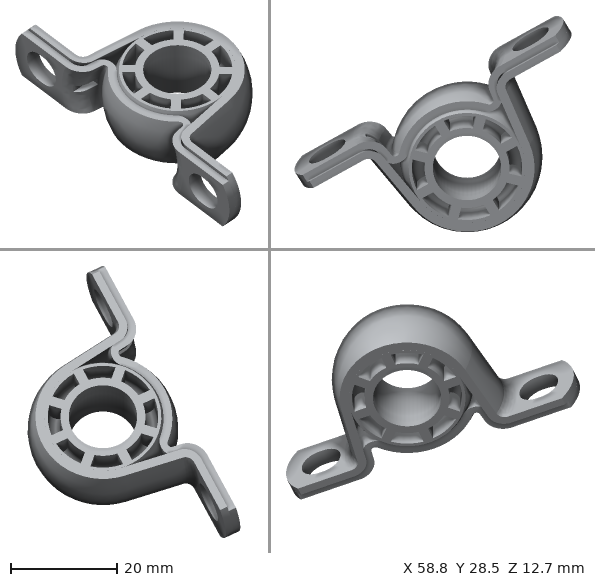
import cadquery as cq
import math


sheet = 1.52
ball_radius = 12.7
bearing_width = 12.7
bore_diameter = 12.87
flange_face = -14.235
leg_tilt = 8.0
rear_width = bearing_width
front_width = 11.16

flange_reach = 29.375
flange_tip_radius = 9.5
mount_hole_x = 22.2
mount_hole_length = 7.9
mount_hole_height = 7.0

rear_bend = 1.68
front_bend = 2.28
crest_y = -7.15
crest_hollow_y = -8.53
crest_outside_bend = 2.2
crest_inside_bend = 0.62

notch_height = 1.6
notch_inner_x = 12.5
notch_outer_x = 14.3
notch_floor_y = -8.7

pocket_count = 8
pocket_inner_radius = 8.0
pocket_outer_radius = 10.4
spoke_width = 1.905
web = 1.5

dome_radius = ball_radius + sheet
leg_length = 2 * ball_radius
joint_y = flange_face + sheet
back_y = joint_y + sheet
block_depth = 2 * ball_radius
plane_tolerance = 0.01


def slab(width):
    """Wide block centred on Z = 0 that trims a strap to its width."""
    return cq.Workplane("XY").box(4 * flange_reach, 4 * flange_reach, width)


def base(top_y):
    """Block filling everything below top_y across the whole flange span."""
    span = 2 * (flange_reach + ball_radius)
    return cq.Workplane("XY").box(span, block_depth, block_depth).translate((0, top_y - block_depth / 2, 0))


def ball(radius):
    return cq.Workplane("XY").sphere(radius)


def legs(radius):
    """Two round legs leaning outwards from the bore centre towards -Y."""
    pair = cq.Workplane("XY")
    for side in (-1, 1):
        direction = cq.Vector(
            side * math.sin(math.radians(leg_tilt)),
            -math.cos(math.radians(leg_tilt)),
            0,
        )
        pair = pair.add(cq.Solid.makeCylinder(radius, leg_length, cq.Vector(0, 0, 0), direction))
    return pair.combine()


def bend_edges(body, y, x_min):
    """Edges in the plane at y that run across the strap and lie further out than x_min on either side."""
    def wanted(edge):
        box = edge.BoundingBox()
        in_plane = max(abs(box.ymin - y), abs(box.ymax - y)) < plane_tolerance
        across = box.zlen > front_width / 2
        return in_plane and across and x_min < abs(edge.Center().x) < flange_reach
    return body.newObject([edge for edge in body.edges().vals() if wanted(edge)])


def hump(radius, foot_y, bend, width):
    """Solid under one rear strap surface: dome, legs and base, with the bends into the flanges."""
    body = ball(radius).union(legs(radius)).union(base(foot_y)).intersect(slab(width))
    return bend_edges(body, foot_y, radius / 2).fillet(bend)


def crest(leg_radius, foot_y, bend, cradle_radius, top_y, top_bend, width):
    """Solid under one front strap surface: twin crests beside a spherical cradle."""
    body = legs(leg_radius).intersect(base(top_y)).union(base(foot_y)).intersect(slab(width))
    body = bend_edges(body, foot_y, leg_radius / 2).fillet(bend)
    body = body.cut(ball(cradle_radius))
    return bend_edges(body, top_y, leg_radius / 2).fillet(top_bend)


def flange_outline():
    """Prism along Y with rounded ends and the two mounting slots."""
    tip_half = rear_width / 2
    corner_x = flange_reach - flange_tip_radius + math.sqrt(flange_tip_radius**2 - tip_half**2)
    return (
        cq.Workplane("XZ")
        .moveTo(-corner_x, -tip_half)
        .lineTo(corner_x, -tip_half)
        .threePointArc((flange_reach, 0), (corner_x, tip_half))
        .lineTo(-corner_x, tip_half)
        .threePointArc((-flange_reach, 0), (-corner_x, -tip_half))
        .close()
        .pushPoints([(-mount_hole_x, 0), (mount_hole_x, 0)])
        .slot2D(mount_hole_length, mount_hole_height)
        .extrude(2 * block_depth, both=True)
    )


def make_rear_strap():
    outside = hump(dome_radius, back_y, rear_bend, rear_width)
    inside = hump(ball_radius, joint_y, rear_bend + sheet, rear_width)
    return outside.cut(inside).intersect(flange_outline())


def make_front_strap():
    outside = crest(ball_radius, joint_y, front_bend, ball_radius, crest_y, crest_outside_bend, front_width)
    inside = crest(
        ball_radius - sheet, flange_face, front_bend + sheet,
        dome_radius, crest_hollow_y, crest_inside_bend, front_width,
    )
    strap = outside.cut(inside).intersect(flange_outline())
    notch_length = notch_outer_x - notch_inner_x
    notch_depth = notch_floor_y - flange_face
    for side in (-1, 1):
        notch = cq.Workplane("XY").box(notch_length, notch_depth, notch_height)
        notch_x = side * (notch_inner_x + notch_outer_x) / 2
        strap = strap.cut(notch.translate((notch_x, (notch_floor_y + flange_face) / 2, 0)))
    return strap


def make_pockets():
    """Ring of round-bottomed pockets in the upper face, split by the spokes."""
    floor_radius = (pocket_outer_radius - pocket_inner_radius) / 2
    middle_radius = (pocket_outer_radius + pocket_inner_radius) / 2
    floor_z = web / 2
    top_z = bearing_width / 2
    ring = (
        cq.Workplane("XZ")
        .moveTo(pocket_inner_radius, top_z)
        .lineTo(pocket_inner_radius, floor_z + floor_radius)
        .threePointArc((middle_radius, floor_z), (pocket_outer_radius, floor_z + floor_radius))
        .lineTo(pocket_outer_radius, top_z)
        .close()
        .revolve(360, (0, 0, 0), (0, 1, 0))
    )
    for index in range(pocket_count // 2):
        spoke = cq.Workplane("XY").box(2 * ball_radius, spoke_width, bearing_width)
        ring = ring.cut(spoke.rotate((0, 0, 0), (0, 0, 1), index * 360 / pocket_count))
    return ring


def make_bearing():
    bore = cq.Workplane("XY").circle(bore_diameter / 2).extrude(bearing_width)
    bore = bore.translate((0, 0, -bearing_width / 2))
    upper_pockets = make_pockets()
    lower_pockets = upper_pockets.mirror("XY")
    return ball(ball_radius).intersect(slab(bearing_width)).cut(bore).cut(upper_pockets).cut(lower_pockets)


rear_strap = make_rear_strap()
front_strap = make_front_strap()
bearing = make_bearing()

bodies = [rear_strap, front_strap, bearing]

result = cq.Compound.makeCompound([body.solids().val() for body in bodies])